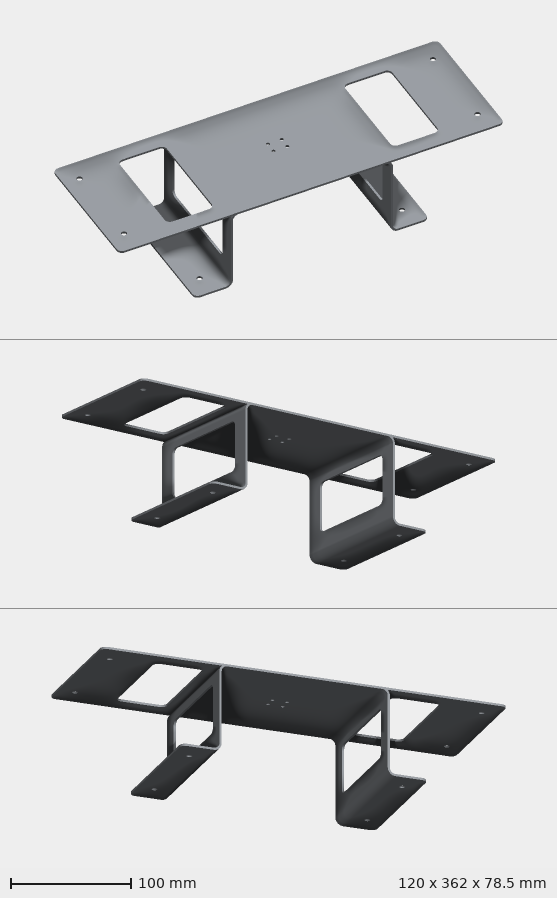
import cadquery as cq
import math

plate_length = 362.0
sheet_width = 120.0
total_height = 78.5
sheet_thickness = 2.0
corner_radius = 5.0

inner_bend_radius = 5.0
outer_bend_radius = inner_bend_radius + sheet_thickness
neutral_fibre_factor = 0.44
unfolded_bend_length = math.pi / 2 * (inner_bend_radius + neutral_fibre_factor * sheet_thickness)

web_half_length = 69.0
leg_straight_length = total_height - 2 * outer_bend_radius
foot_straight_length = (
    plate_length / 2 - web_half_length - 2 * unfolded_bend_length - leg_straight_length
)
leg_inner_y = web_half_length + inner_bend_radius
foot_end_y = leg_inner_y + outer_bend_radius + foot_straight_length

window_width = 90.0
window_length = 44.0
window_bend_margin = 5.5
plate_window_y = web_half_length + unfolded_bend_length + window_bend_margin + window_length / 2
leg_window_z = -(outer_bend_radius + window_bend_margin + window_length / 2)

mount_hole_diameter = 5.0
mount_hole_spacing = 80.0
mount_hole_end_margin = 15.0
centre_hole_diameter = 3.3
centre_hole_spacing_x = 10.0
centre_hole_spacing_y = 13.0
centre_hole_offset_x = -1.63

web_seat_z = -sheet_thickness / 2


def mount_holes(end_y):
    """Vertical cutters for the two pairs of mounting holes set in from both ends."""
    return (
        cq.Workplane("XY", origin=(0, 0, -total_height))
        .rarray(mount_hole_spacing, 2 * (end_y - mount_hole_end_margin), 2, 2)
        .circle(mount_hole_diameter / 2)
        .extrude(total_height)
    )


def centre_holes():
    """Cutters for the four small holes through plate and web."""
    return (
        cq.Workplane("XY", origin=(centre_hole_offset_x, 0, -sheet_thickness))
        .rarray(centre_hole_spacing_x, centre_hole_spacing_y, 2, 2)
        .circle(centre_hole_diameter / 2)
        .extrude(sheet_thickness)
    )


def plate_windows():
    """Cutters for the two round-cornered windows of the flat plate."""
    return (
        cq.Workplane("XY", origin=(0, 0, -sheet_thickness))
        .pushPoints([(0, -plate_window_y), (0, plate_window_y)])
        .rect(window_width, window_length)
        .extrude(sheet_thickness)
        .edges("|Z")
        .fillet(corner_radius)
    )


def leg_windows():
    """One cutter that opens the same window in both legs."""
    return (
        cq.Workplane("XY")
        .box(window_width, 2 * foot_end_y, window_length)
        .edges("|Y")
        .fillet(corner_radius)
        .translate((0, 0, leg_window_z))
    )


def rounded_blank(length, height):
    """Block below Z = 0 with the sheet width and rounded vertical corners."""
    return (
        cq.Workplane("XY")
        .box(sheet_width, length, height, centered=(True, True, False))
        .edges("|Z")
        .fillet(corner_radius)
        .translate((0, 0, -height))
    )


def folded_half():
    """Web, leg and foot on the +Y side, swept as one bent strip of sheet."""
    leg_outer_y = leg_inner_y + sheet_thickness
    leg_top_z = -outer_bend_radius
    leg_bottom_z = leg_top_z - leg_straight_length
    foot_start_y = leg_inner_y + outer_bend_radius
    foot_top_z = -total_height + sheet_thickness
    quarter = math.sqrt(0.5)
    outer_reach = outer_bend_radius * quarter
    inner_reach = inner_bend_radius * quarter
    return (
        cq.Workplane("YZ", origin=(-sheet_width / 2, 0, 0))
        .moveTo(0, 0)
        .lineTo(web_half_length, 0)
        .threePointArc((web_half_length + outer_reach, leg_top_z + outer_reach), (leg_outer_y, leg_top_z))
        .lineTo(leg_outer_y, leg_bottom_z)
        .threePointArc((foot_start_y - inner_reach, leg_bottom_z - inner_reach), (foot_start_y, foot_top_z))
        .lineTo(foot_end_y, foot_top_z)
        .lineTo(foot_end_y, -total_height)
        .lineTo(foot_start_y, -total_height)
        .threePointArc((foot_start_y - outer_reach, leg_bottom_z - outer_reach), (leg_inner_y, leg_bottom_z))
        .lineTo(leg_inner_y, leg_top_z)
        .threePointArc(
            (web_half_length + inner_reach, leg_top_z + inner_reach), (web_half_length, -sheet_thickness)
        )
        .lineTo(0, -sheet_thickness)
        .close()
        .extrude(sheet_width)
    )


def make_bracket():
    """Folded bracket: two legs with outward feet, joined by a thinned web."""
    half = folded_half()
    bent_sheet = half.union(half.mirror("XZ"))
    web_clearance = (
        cq.Workplane("XY", origin=(0, 0, web_seat_z))
        .box(sheet_width, plate_length, -web_seat_z, centered=(True, True, False))
    )
    return (
        bent_sheet.intersect(rounded_blank(2 * foot_end_y, total_height))
        .cut(web_clearance)
        .cut(leg_windows())
        .cut(mount_holes(foot_end_y))
        .cut(centre_holes())
    )


def make_plate(seated_bracket):
    """Flat plate with windows and holes, recessed underneath for the bracket web."""
    return (
        rounded_blank(plate_length, sheet_thickness)
        .cut(plate_windows())
        .cut(mount_holes(plate_length / 2))
        .cut(centre_holes())
        .cut(seated_bracket)
    )


bracket = make_bracket()
plate = make_plate(bracket)

result = cq.Compound.makeCompound([plate.solids().val(), bracket.solids().val()])